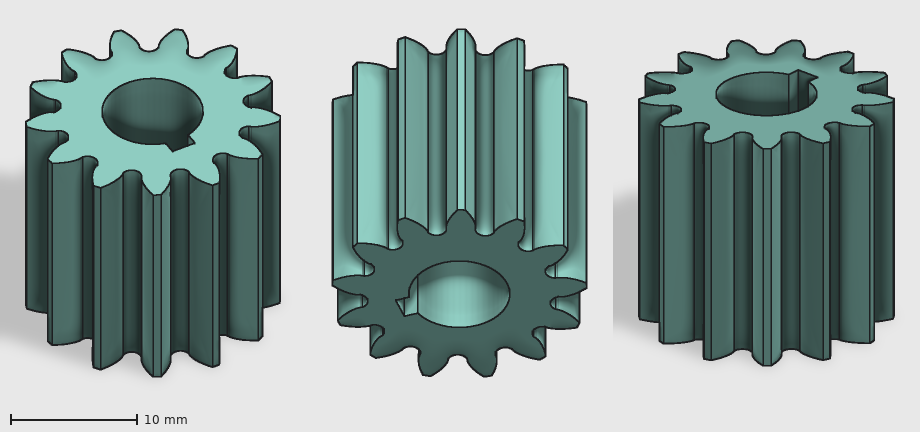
import cadquery as cq
import math

tooth_count = 13
face_width = 19.05
tip_radius = 10.15
base_radius = 8.03
base_half_thickness = 1.17
fillet_top_radius = 7.85
root_radius = 7.3
bore_radius = 4.0
keyway_reach = 5.0
keyway_width = 2.05
flank_steps = 6

pitch_angle = 2 * math.pi / tooth_count
base_half_angle = base_half_thickness / base_radius
tip_roll = math.sqrt((tip_radius / base_radius) ** 2 - 1)


def polar(radius, angle):
    return (radius * math.cos(angle), radius * math.sin(angle))


def involute_flank(center_angle, side):
    """Points from base circle to tip; side is -1 or +1 for the two flanks."""
    points = []
    for step in range(flank_steps + 1):
        roll = tip_roll * step / flank_steps
        radius = base_radius * math.sqrt(1 + roll ** 2)
        half_angle = base_half_angle - (roll - math.atan(roll))
        points.append(polar(radius, center_angle + side * half_angle))
    return points


def gear_blank():
    outline = cq.Workplane("XY").moveTo(*polar(fillet_top_radius, -base_half_angle))
    for tooth in range(tooth_count):
        center = tooth * pitch_angle
        rising = involute_flank(center, -1)
        falling = involute_flank(center, 1)[::-1]
        root_middle = polar(root_radius, center + pitch_angle / 2)
        next_tooth_start = polar(fillet_top_radius, center + pitch_angle - base_half_angle)
        outline = (
            outline.lineTo(*rising[0])
            .spline(rising[1:], includeCurrent=True)
            .threePointArc(polar(tip_radius, center), falling[0])
            .spline(falling[1:], includeCurrent=True)
            .lineTo(*polar(fillet_top_radius, center + base_half_angle))
            .threePointArc(root_middle, next_tooth_start)
        )
    return outline.close().extrude(face_width)


def keyed_bore():
    bore = cq.Workplane("XY").circle(bore_radius).extrude(face_width)
    keyway = cq.Workplane("XY").box(
        keyway_reach, keyway_width, face_width, centered=(False, True, False)
    )
    return bore.union(keyway)


result = gear_blank().cut(keyed_bore())